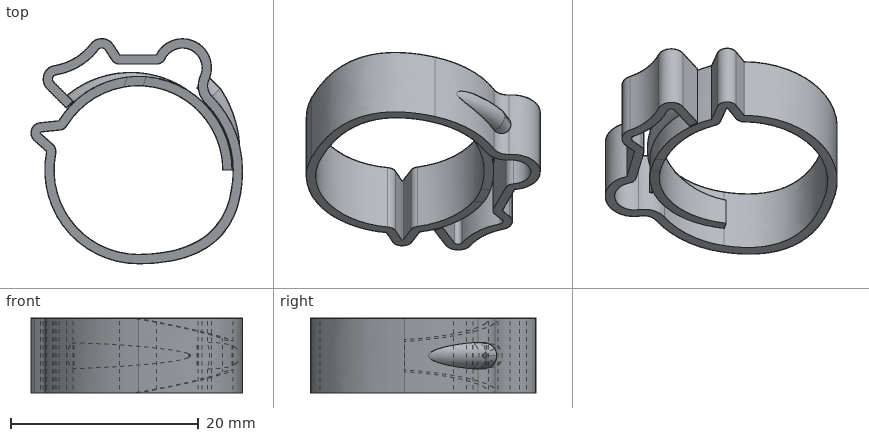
import cadquery as cq
import math


strip_width = 8.0
thickness = 1.0
half_thickness = thickness / 2
sharp = half_thickness

ring_radius = 9.5
ring_outer = ring_radius + half_thickness
overlap_radius = 10.6
flare_reach = 6.63
neck_angle = 45

lug_root_angle = 148.2
lug_heel_angle = 168.8
lug_center = (-10.35, 3.96)
lug_radius = 0.6
neck_radius = 2.11
ear_radius = 2.6
ear_direction = 155.8
saddle_height = 12.3
saddle_left = -2.0
horn_center = (-3.92, 12.57)
horn_radius = 0.95
dip_radius = 6.6
dip_direction = 142.5
hook_radius = 0.95
hook_direction = -80.7
tip_angle = 135
tip_distance = 10.12

taper_start = -3.25
taper_slope = 11
taper_turn = -18
taper_blend = 10.0

rib_round = 1.45
neck_rib_center = (-1.18, 1.97)
neck_rib_crown = 12.0
neck_rib_straight = 1.8
hook_rib_center = (-0.82, -0.22)
hook_rib_crown = 10.65

reach = 36.05
negligible = 0.0002

LEFT = 1
RIGHT = -1


def polar(center, distance, degrees):
    """Point at a distance and direction from a centre."""
    angle = math.radians(degrees)
    return (center[0] + distance * math.cos(angle), center[1] + distance * math.sin(angle))


def direction(start, end):
    """Heading from one point to another, in degrees."""
    return math.degrees(math.atan2(end[1] - start[1], end[0] - start[0]))


axis = (0, 0)
lug_root = polar(axis, ring_radius + sharp, lug_root_angle)
lug_heel = polar(axis, ring_radius + lug_radius, lug_heel_angle)
neck_center = polar(axis, overlap_radius + neck_radius, neck_angle)
ear_center = polar(neck_center, neck_radius + ear_radius, ear_direction)
saddle_rise = math.degrees(math.asin((saddle_height - ear_center[1]) / (ear_radius + sharp)))
saddle_right_corner = polar(ear_center, ear_radius + sharp, 180 - saddle_rise)
saddle_left_corner = (saddle_left, saddle_height)
dip_center = polar(horn_center, horn_radius + dip_radius, dip_direction)
hook_center = polar(dip_center, dip_radius + hook_radius, hook_direction)


def tangent_heading(first, second):
    """Heading of the straight stretch that leaves one bend and enters the next."""
    center_a, radius_a, turn_a = first
    center_b, radius_b, turn_b = second
    gap = math.dist(center_a, center_b)
    sine = round((turn_b * radius_b - turn_a * radius_a) / gap, 12)
    tilt = math.asin(sine)
    return direction(center_a, center_b) - math.degrees(tilt)


def arc_edge(bend, offset, start_heading, end_heading):
    """Arc of a bend, for the strip face that lies `offset` to the left of the centreline."""
    center, radius, turn = bend
    face_radius = radius - turn * offset
    if face_radius < negligible:
        return None
    sweep = (turn * (end_heading - start_heading)) % 360
    first = start_heading - turn * 90
    points = [polar(center, face_radius, first + turn * sweep * part) for part in (0, 0.5, 1)]
    return cq.Edge.makeThreePointArc(*[cq.Vector(*point) for point in points])


def chain_edges(bends, start_heading, end_heading, offset):
    """Arcs of successive bends, joined by the straight stretches tangent to them."""
    between = [tangent_heading(a, b) for a, b in zip(bends, bends[1:])]
    headings = [start_heading] + between + [end_heading]
    edges = []
    previous_end = None
    for bend, entry, leave in zip(bends, headings, headings[1:]):
        center, radius, turn = bend
        face_radius = radius - turn * offset
        arc_start = polar(center, face_radius, entry - turn * 90)
        if previous_end and math.dist(previous_end, arc_start) > negligible:
            edges.append(cq.Edge.makeLine(cq.Vector(*previous_end), cq.Vector(*arc_start)))
        arc = arc_edge(bend, offset, entry, leave)
        if arc:
            edges.append(arc)
        previous_end = polar(center, face_radius, leave - turn * 90)
    return edges


def flare_edge(offset):
    """Curve from the bottom of the ring out to the wider overlap."""
    bottom = ring_radius - offset
    side = overlap_radius - offset
    handle = flare_reach * (1 - offset / ring_radius)
    points = [(0, -bottom), (handle, -bottom), (side, -handle), (side, 0)]
    return cq.Edge.makeBezier([cq.Vector(*point) for point in points])


def face_edges(offset):
    """One face of the strip, from the tip of the tongue to the tip of the hook."""
    inner_bends = [
        (axis, ring_radius, LEFT),
        (lug_root, sharp, RIGHT),
        (lug_center, lug_radius, LEFT),
        (lug_heel, lug_radius, RIGHT),
        (axis, ring_radius, LEFT),
    ]
    outer_bends = [
        (axis, overlap_radius, LEFT),
        (neck_center, neck_radius, RIGHT),
        (ear_center, ear_radius, LEFT),
        (saddle_right_corner, sharp, RIGHT),
        (saddle_left_corner, sharp, RIGHT),
        (horn_center, horn_radius, LEFT),
        (dip_center, dip_radius, RIGHT),
        (hook_center, hook_radius, LEFT),
    ]
    leg_heading = tip_angle + 180
    edges = chain_edges(inner_bends, 90, 0, offset)
    edges.append(flare_edge(offset))
    edges += chain_edges(outer_bends, 90, leg_heading, offset)
    leg_start = edges[-1].endPoint()
    leg_axis = cq.Vector(*polar(axis, 1, tip_angle))
    leg_length = leg_start.dot(leg_axis) - tip_distance
    edges.append(cq.Edge.makeLine(leg_start, leg_start - leg_axis * leg_length))
    return edges


def make_strip():
    """Bent strip of constant width and thickness."""
    left = face_edges(half_thickness)
    right = face_edges(-half_thickness)
    tongue_end = cq.Edge.makeLine(left[0].startPoint(), right[0].startPoint())
    hook_end = cq.Edge.makeLine(left[-1].endPoint(), right[-1].endPoint())
    outline = cq.Wire.assembleEdges(left + [hook_end] + right[::-1] + [tongue_end])
    return cq.Workplane(cq.Solid.extrudeLinear(outline, [], cq.Vector(0, 0, strip_width)))


def make_tongue_taper():
    """Material taken off both edges of the tongue, inside the overlap."""
    slope = math.radians(taper_slope)
    run = reach / 2
    blend_length = taper_blend * math.tan(slope / 2)
    half_blend = slope / 2
    blend_start = (taper_start - blend_length, strip_width)
    blend_middle = (
        blend_start[0] + taper_blend * math.sin(half_blend),
        strip_width - taper_blend * (1 - math.cos(half_blend)),
    )
    blend_end = (
        taper_start + blend_length * math.cos(slope),
        strip_width - blend_length * math.sin(slope),
    )
    upper = (
        cq.Workplane("XZ")
        .moveTo(*blend_start)
        .threePointArc(blend_middle, blend_end)
        .lineTo(taper_start + run, strip_width - run * math.tan(slope))
        .lineTo(taper_start + run, strip_width)
        .close()
        .extrude(reach, both=True)
        .rotate((0, 0, 0), (0, 0, 1), taper_turn)
    )
    lower = upper.mirror("XY").translate((0, 0, strip_width))
    clearance = (overlap_radius - ring_radius - thickness) / 2
    tongue_zone = (
        cq.Workplane("XY")
        .circle(ring_outer + clearance)
        .extrude(strip_width)
        .intersect(cq.Workplane("XY").box(reach, reach, reach, centered=(True, False, True)))
    )
    return upper.union(lower).intersect(tongue_zone)


def rib_ring(center, crown):
    """Ring of round cross-section, at mid-width of the strip."""
    return (
        cq.Workplane("XZ")
        .center(crown - rib_round, strip_width / 2)
        .circle(rib_round)
        .revolve(360, (rib_round - crown, 0), (rib_round - crown, 1))
        .translate((*center, 0))
    )


def quarter(turn, start=0):
    """Quarter of space between the polar angles turn and turn + 90, begun `start` out from the Z axis."""
    return (
        cq.Workplane("XY")
        .box(reach, reach, reach, centered=(False, False, True))
        .translate((start, 0, 0))
        .rotate((0, 0, 0), (0, 0, 1), turn)
    )


def make_neck_rib():
    """Rib on the outside of the overlap that runs straight into the neck."""
    seat = cq.Workplane("XY").circle(overlap_radius).extrude(strip_width)
    ring = rib_ring(neck_rib_center, neck_rib_crown)
    curved = ring.intersect(quarter(neck_angle - 90)).cut(seat)
    run = cq.Vector(*polar(axis, neck_rib_straight, neck_angle + 90))
    end_face = curved.faces(cq.selectors.DirectionMinMaxSelector(run, True))
    straight = cq.Solid.extrudeLinear(end_face.val(), run)
    return curved.union(cq.Workplane(straight))


def make_clamp():
    """Strip with its tapered tongue and the rib that stiffens its neck."""
    return make_strip().cut(make_tongue_taper()).union(make_neck_rib())


def make_hook_rib():
    """Separate rib lying on the ring between the hook and the tongue."""
    leg_side = cq.Vector(*polar(axis, 1, tip_angle - 90))
    leg_face = cq.Vector(*hook_center).dot(leg_side) - hook_radius + half_thickness
    seat = cq.Workplane("XY").circle(ring_outer).extrude(strip_width)
    ring = rib_ring(hook_rib_center, hook_rib_crown)
    return ring.intersect(quarter(tip_angle - 90, leg_face)).cut(seat)


clamp = make_clamp()
hook_rib = make_hook_rib()
result = cq.Compound.makeCompound([clamp.val(), hook_rib.val()])